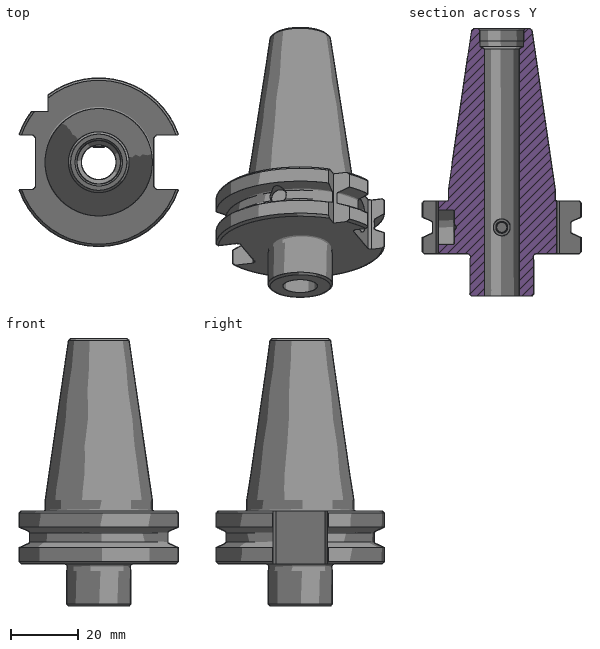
import cadquery as cq
import math


GAUGE_RADIUS = 31.75 / 2
TAPER_LENGTH = 47.8
TAPER_RATIO = 7 / 24
SHANK_END_RADIUS = GAUGE_RADIUS - TAPER_LENGTH * TAPER_RATIO / 2
SHANK_END_CHAMFER = 0.6
COLLAR_RADIUS = GAUGE_RADIUS
COLLAR_FILLET = 0.4

FLANGE_RADIUS = 24.93
FLANGE_TOP = -3.15
FLANGE_THICKNESS = 15.7
FLANGE_BOTTOM = FLANGE_TOP - FLANGE_THICKNESS
FLANGE_CHAMFER = 0.7
FLANGE_MIDDLE = (FLANGE_TOP + FLANGE_BOTTOM) / 2
GROOVE_ROOT_RADIUS = 22.0
GROOVE_ROOT_WIDTH = 3.3
GROOVE_MOUTH_WIDTH = 6.1
GROOVE_ROOT_FILLET = 0.5

SLOT_WIDTH = 16.1
SLOT_CORNER_CHAMFER = 0.8
SLOT_EDGE_CHAMFER = 0.25
LEFT_SLOT_FLOOR = 18.7
RIGHT_SLOT_FLOOR = 16.3
NOTCH_OFFSET = 15.0

NOSE_RADIUS = 9.5
NOSE_END = -31.35
NOSE_CHAMFER = 0.6
NECK_RADIUS = 9.35
NECK_FILLET = 0.9
NECK_LENGTH = 2.1

BORE_RADIUS = 5.1
MOUTH_RADIUS = 6.5
MOUTH_CHAMFER = 0.5
MOUTH_DEPTH = 3.7
RELIEF_RADIUS = 6.4
RELIEF_DEPTH = 5.3
RELIEF_CONE_ANGLE = 30

CHIP_RADIUS = 5.0
CHIP_DEPTH = 4.6
CHIP_FLOOR_FILLET = 0.3
CENTRE_MARK_RADIUS = 1.1
CENTRE_MARK_DEPTH = 0.7

SCREW_RADIUS = 2.5
SCREW_TIP_Y = 4.33
SCREW_LENGTH = 16.0
SCREW_POINT_RADIUS = 1.75
SCREW_POINT_LENGTH = 2.5
SCREW_POINT_CHAMFER = 0.25


def revolved_body():
    """Shank, flange and nose as one turned profile, without the V-groove."""
    neck_end = FLANGE_BOTTOM - NECK_LENGTH
    profile = (
        cq.Workplane("XZ")
        .moveTo(0, TAPER_LENGTH)
        .lineTo(SHANK_END_RADIUS - SHANK_END_CHAMFER, TAPER_LENGTH)
        .lineTo(SHANK_END_RADIUS + SHANK_END_CHAMFER * TAPER_RATIO / 2, TAPER_LENGTH - SHANK_END_CHAMFER)
        .lineTo(GAUGE_RADIUS, 0)
        .lineTo(COLLAR_RADIUS, FLANGE_TOP + COLLAR_FILLET)
        .radiusArc((COLLAR_RADIUS + COLLAR_FILLET, FLANGE_TOP), -COLLAR_FILLET)
        .lineTo(FLANGE_RADIUS - FLANGE_CHAMFER, FLANGE_TOP)
        .lineTo(FLANGE_RADIUS, FLANGE_TOP - FLANGE_CHAMFER)
        .lineTo(FLANGE_RADIUS, FLANGE_BOTTOM + FLANGE_CHAMFER)
        .lineTo(FLANGE_RADIUS - FLANGE_CHAMFER, FLANGE_BOTTOM)
        .lineTo(NECK_RADIUS + NECK_FILLET, FLANGE_BOTTOM)
        .radiusArc((NECK_RADIUS, FLANGE_BOTTOM - NECK_FILLET), -NECK_FILLET)
        .lineTo(NOSE_RADIUS, neck_end)
        .lineTo(NOSE_RADIUS, NOSE_END + NOSE_CHAMFER)
        .lineTo(NOSE_RADIUS - NOSE_CHAMFER, NOSE_END)
        .lineTo(0, NOSE_END)
        .close()
    )
    return profile.revolve(360, (0, 0, 0), (0, 1, 0))


def groove_cutter():
    """Ring with the section of the V-groove, rounded at the root."""
    root_half = GROOVE_ROOT_WIDTH / 2
    mouth_half = GROOVE_MOUTH_WIDTH / 2
    ring = (
        cq.Workplane("XZ")
        .polyline(
            [
                (GROOVE_ROOT_RADIUS, FLANGE_MIDDLE - root_half),
                (FLANGE_RADIUS, FLANGE_MIDDLE - mouth_half),
                (FLANGE_RADIUS, FLANGE_MIDDLE + mouth_half),
                (GROOVE_ROOT_RADIUS, FLANGE_MIDDLE + root_half),
            ]
        )
        .close()
        .revolve(360, (0, 0, 0), (0, 1, 0))
    )
    root_edges = cq.selectors.RadiusNthSelector(0)
    return ring.edges("%CIRCLE").edges(root_edges).fillet(GROOVE_ROOT_FILLET)


def slot_cutter(side, floor):
    """Drive slot through the flange; side is -1 for -X and +1 for +X."""
    length = FLANGE_RADIUS
    return (
        cq.Workplane("XY", origin=(side * (floor + length / 2), 0, FLANGE_MIDDLE))
        .box(length, SLOT_WIDTH, FLANGE_THICKNESS)
        .edges("|Z")
        .edges("<X" if side > 0 else ">X")
        .chamfer(SLOT_CORNER_CHAMFER)
    )


def notch_cutter():
    """Square orientation notch at the -X +Y part of the flange rim."""
    size = FLANGE_RADIUS
    centre = NOTCH_OFFSET + size / 2
    return cq.Workplane("XY", origin=(-centre, centre, FLANGE_MIDDLE)).box(size, size, FLANGE_THICKNESS)


def bore_cutter():
    """Through bore with the chamfered, stepped mouth at the top."""
    relief_end = TAPER_LENGTH - RELIEF_DEPTH
    cone_end = relief_end - (RELIEF_RADIUS - BORE_RADIUS) * math.tan(math.radians(RELIEF_CONE_ANGLE))
    return (
        cq.Workplane("XZ")
        .polyline(
            [
                (0, TAPER_LENGTH),
                (MOUTH_RADIUS + MOUTH_CHAMFER, TAPER_LENGTH),
                (MOUTH_RADIUS, TAPER_LENGTH - MOUTH_CHAMFER),
                (MOUTH_RADIUS, TAPER_LENGTH - MOUTH_DEPTH),
                (RELIEF_RADIUS, TAPER_LENGTH - MOUTH_DEPTH),
                (RELIEF_RADIUS, relief_end),
                (BORE_RADIUS, cone_end),
                (BORE_RADIUS, NOSE_END),
                (0, NOSE_END),
            ]
        )
        .close()
        .revolve(360, (0, 0, 0), (0, 1, 0))
    )


def chip_pocket_cutter():
    """Blind round pocket with a rounded floor edge and a conical centre mark."""
    pocket = (
        cq.Workplane("YZ", origin=(-LEFT_SLOT_FLOOR, 0, FLANGE_MIDDLE))
        .circle(CHIP_RADIUS)
        .extrude(CHIP_DEPTH)
        .faces(">X")
        .edges()
        .fillet(CHIP_FLOOR_FILLET)
    )
    floor_centre = cq.Vector(CHIP_DEPTH - LEFT_SLOT_FLOOR, 0, FLANGE_MIDDLE)
    mark = cq.Solid.makeCone(CENTRE_MARK_RADIUS, 0, CENTRE_MARK_DEPTH, floor_centre, cq.Vector(1, 0, 0))
    return pocket.union(cq.Workplane(mark))


def screw_hole_cutter():
    """Radial hole from the bore axis out to the flange rim on the +Y side."""
    hole = cq.Solid.makeCylinder(
        SCREW_RADIUS, FLANGE_RADIUS, cq.Vector(0, 0, FLANGE_MIDDLE), cq.Vector(0, 1, 0)
    )
    return cq.Workplane(hole)


def break_slot_edges(flange):
    """Chamfer the upright edges where the drive slots meet the flange rim."""
    rim_edge_x = math.sqrt(FLANGE_RADIUS**2 - (SLOT_WIDTH / 2) ** 2)
    reach = SLOT_EDGE_CHAMFER
    for side_x in (-1, 1):
        for side_y in (-1, 1):
            x = side_x * rim_edge_x
            y = side_y * SLOT_WIDTH / 2
            corner = cq.selectors.BoxSelector(
                (x - reach, y - reach, FLANGE_BOTTOM), (x + reach, y + reach, FLANGE_TOP)
            )
            flange = flange.edges("|Z").edges(corner).chamfer(SLOT_EDGE_CHAMFER)
    return flange


def make_holder():
    slotted = (
        revolved_body()
        .cut(groove_cutter())
        .cut(slot_cutter(-1, LEFT_SLOT_FLOOR))
        .cut(slot_cutter(1, RIGHT_SLOT_FLOOR))
    )
    return (
        break_slot_edges(slotted)
        .cut(notch_cutter())
        .cut(bore_cutter())
        .cut(chip_pocket_cutter())
        .cut(screw_hole_cutter())
    )


def make_clamping_screw():
    """Headless screw with a cylindrical dog point that reaches into the bore."""
    screw_end = SCREW_TIP_Y + SCREW_LENGTH
    shoulder = SCREW_TIP_Y + SCREW_POINT_LENGTH
    return (
        cq.Workplane("XY", origin=(0, 0, FLANGE_MIDDLE))
        .polyline(
            [
                (0, SCREW_TIP_Y),
                (SCREW_POINT_RADIUS - SCREW_POINT_CHAMFER, SCREW_TIP_Y),
                (SCREW_POINT_RADIUS, SCREW_TIP_Y + SCREW_POINT_CHAMFER),
                (SCREW_POINT_RADIUS, shoulder),
                (SCREW_RADIUS, shoulder),
                (SCREW_RADIUS, screw_end),
                (0, screw_end),
            ]
        )
        .close()
        .revolve(360, (0, 0, 0), (0, 1, 0))
    )


holder = make_holder()
clamping_screw = make_clamping_screw()

result = cq.Compound.makeCompound([holder.val(), clamping_screw.val()])